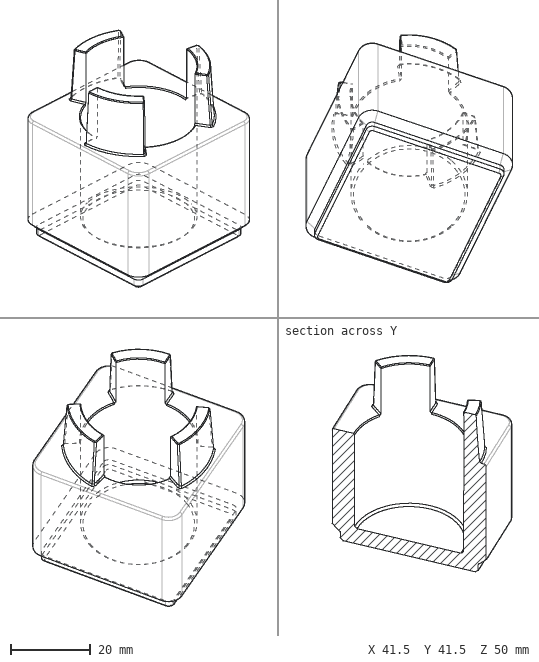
import cadquery as cq
import math

block_width = 41.5
block_top = 35.0
block_corner_radius = 3.75
block_top_rounding = 0.6

foot_chamfer = 0.8
foot_wall_height = 1.8
shoulder_chamfer = 2.15

pocket_radius = 14.6
pocket_floor = 5.0
pocket_floor_chamfer = 0.6
pocket_rim_chamfer = 0.3

total_height = 50.0
prong_count = 3
prong_first_angle = 30.0
prong_sweep = 50.0
prong_base_radius = 19.0
prong_top_radius = 18.05
prong_corner_chamfer = 0.4
prong_top_chamfer = 0.25
prong_root_chamfer = 0.4
prong_overlap = 3.0

selection_margin = 0.05


def rounded_square(width, corner_radius, bottom, height):
    """Square prism with rounded vertical edges."""
    prism = cq.Workplane("XY").workplane(offset=bottom).rect(width, width).extrude(height)
    return prism.edges("|Z").fillet(corner_radius)


def make_foot():
    """Narrow foot, joined to the block by a 45 degree shoulder."""
    width = block_width - 2 * shoulder_chamfer
    corner_radius = block_corner_radius - shoulder_chamfer
    height = foot_chamfer + foot_wall_height
    foot = rounded_square(width, corner_radius, 0, height + shoulder_chamfer)
    return foot.faces("<Z").chamfer(foot_chamfer)


def make_block():
    """Main block with a rounded top rim and a chamfered underside."""
    bottom = foot_chamfer + foot_wall_height
    block = rounded_square(block_width, block_corner_radius, bottom, block_top - bottom)
    block = block.faces("<Z").chamfer(shoulder_chamfer)
    return block.faces(">Z").edges().fillet(block_top_rounding)


def make_prong():
    """Sector with a tapered outer face, reaching past the pocket wall."""
    inner_radius = pocket_radius - prong_overlap
    profile = [
        (inner_radius, block_top),
        (prong_base_radius, block_top),
        (prong_top_radius, total_height),
        (inner_radius, total_height),
    ]
    prong = cq.Workplane("XZ").polyline(profile).close().revolve(prong_sweep, (0, 0), (0, 1))
    corner_zone = cq.selectors.BoxSelector(
        (pocket_radius * math.cos(math.radians(prong_sweep)), 0, block_top),
        (prong_base_radius, prong_base_radius, total_height),
    )
    prong = prong.edges(corner_zone).edges("not #Z").edges("%LINE").chamfer(prong_corner_chamfer)
    return prong.faces(">Z").chamfer(prong_top_chamfer)


def chamfer_prong_roots(body):
    """Sloped root where the prongs meet the top of the block."""
    root_zone = cq.selectors.BoxSelector(
        (-prong_base_radius, -prong_base_radius, block_top - selection_margin),
        (prong_base_radius, prong_base_radius, block_top + selection_margin),
    )
    return body.edges(root_zone).chamfer(prong_root_chamfer)


def make_pocket():
    """Revolved cutter with a chamfered floor, flared to bevel the inner edges of the prong tops."""
    profile = [
        (0, pocket_floor),
        (pocket_radius - pocket_floor_chamfer, pocket_floor),
        (pocket_radius, pocket_floor + pocket_floor_chamfer),
        (pocket_radius, total_height - prong_top_chamfer),
        (pocket_radius + prong_top_chamfer, total_height),
        (0, total_height),
    ]
    return cq.Workplane("XZ").polyline(profile).close().revolve(360, (0, 0), (0, 1))


def make_rim_chamfer():
    """Cutter that breaks the pocket rim from one prong root to the next."""
    root_angle = math.degrees(prong_root_chamfer / pocket_radius)
    sweep = 360 / prong_count - prong_sweep - 2 * root_angle
    profile = [
        (pocket_radius - pocket_rim_chamfer, block_top - pocket_rim_chamfer),
        (pocket_radius, block_top - pocket_rim_chamfer),
        (pocket_radius + pocket_rim_chamfer, block_top),
        (pocket_radius - pocket_rim_chamfer, block_top),
    ]
    cutter = cq.Workplane("XZ").polyline(profile).close().revolve(sweep, (0, 0), (0, 1))
    return cutter.rotate((0, 0, 0), (0, 0, 1), prong_sweep + root_angle)


def around_pocket(shape):
    """Copies of a shape, one for each prong position."""
    pitch = 360 / prong_count
    return [
        shape.rotate((0, 0, 0), (0, 0, 1), prong_first_angle + i * pitch)
        for i in range(prong_count)
    ]


result = make_foot().union(make_block())
for prong in around_pocket(make_prong()):
    result = result.union(prong)
result = chamfer_prong_roots(result)
result = result.cut(make_pocket())
for rim_cutter in around_pocket(make_rim_chamfer()):
    result = result.cut(rim_cutter)